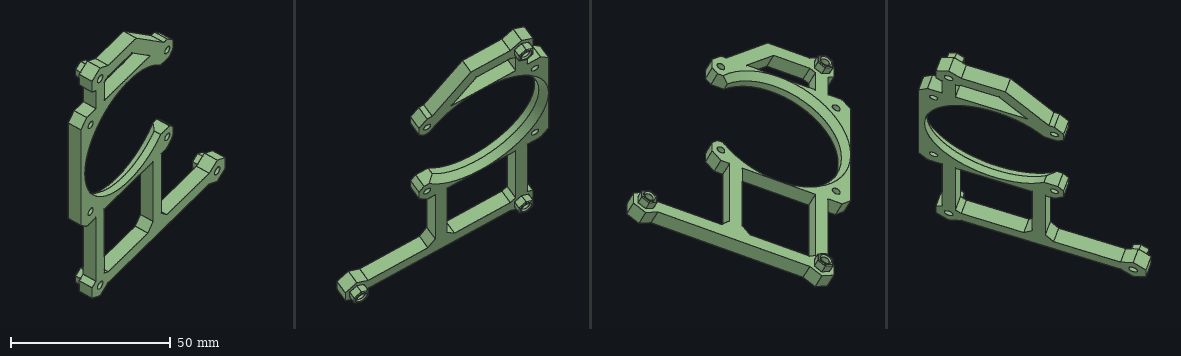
import cadquery as cq
import math

overall_height = 105.0
thickness = 5.0
stud_length = 2.9

plate_half = 25.1
plate_corner = 3.0
screw_pitch = 40.0
screw_hole_diameter = 2.6
free_edge_margin = 3.0
mouth_half = 16.0
mouth_corner = 1.9
ring_front_radius = 25.0
ring_back_radius = 23.0
ring_taper_depth = 2.5

pad_radius = 4.9
stud_radius = 3.0
stud_tip_chamfer = 0.3
stud_bore_diameter = 2.8
bore_countersink = 0.5
pad_spacing_y = 61.1
near_pad_y = -15.0
upper_pad_z = 37.0

bar_width = 5.0
post_width = 4.4
outer_post_y = 14.8
gusset_width = 2.7
gusset_height = 3.0
brace_corner_y = 3.8
brace_bend = 45.0

pad_spacing_z = overall_height - 2 * pad_radius
lower_pad_z = upper_pad_z - pad_spacing_z
far_pad_y = near_pad_y + pad_spacing_y
screw_offset = screw_pitch / 2
free_edge_y = screw_offset + free_edge_margin
pad_centres = [
    (near_pad_y, upper_pad_z),
    (near_pad_y, lower_pad_z),
    (far_pad_y, lower_pad_z),
]


def extrude_outline(points):
    """Extrude a closed (y, z) outline through the frame thickness."""
    return cq.Workplane("YZ").polyline(points).close().extrude(thickness)


def block(y_min, y_max, z_min, z_max):
    """Rectangular bar through the frame thickness."""
    return extrude_outline([(y_min, z_min), (y_max, z_min), (y_max, z_max), (y_min, z_max)])


def hexagon(centre, radius):
    """Corners of a hexagon with one corner pointing up."""
    y, z = centre
    angles = [math.pi * (2 * i + 1) / 6 for i in range(6)]
    return [(y + radius * math.cos(a), z + radius * math.sin(a)) for a in angles]


def ring_plate():
    """Square plate with clipped corners, a tapered opening and a mouth on the +Y side."""
    plate = extrude_outline([
        (-plate_half, -plate_half + plate_corner),
        (-plate_half + plate_corner, -plate_half),
        (free_edge_y - plate_corner, -plate_half),
        (free_edge_y, -plate_half + plate_corner),
        (free_edge_y, plate_half - plate_corner),
        (free_edge_y - plate_corner, plate_half),
        (-plate_half + plate_corner, plate_half),
        (-plate_half, plate_half - plate_corner),
    ])
    opening = (
        cq.Workplane("XY")
        .polyline([
            (0, 0),
            (0, ring_front_radius),
            (ring_taper_depth, ring_back_radius),
            (thickness, ring_back_radius),
            (thickness, 0),
        ])
        .close()
        .revolve(360, (0, 0, 0), (1, 0, 0))
    )
    mouth = extrude_outline([
        (0, -mouth_half),
        (free_edge_y - mouth_corner, -mouth_half),
        (free_edge_y, -mouth_half - mouth_corner),
        (free_edge_y, mouth_half + mouth_corner),
        (free_edge_y - mouth_corner, mouth_half),
        (0, mouth_half),
    ])
    screw_holes = (
        cq.Workplane("YZ")
        .rect(screw_pitch, screw_pitch, forConstruction=True)
        .vertices()
        .circle(screw_hole_diameter / 2)
        .extrude(thickness)
    )
    return plate.cut(opening).cut(mouth).cut(screw_holes)


def lower_frame():
    """Bottom bar, the two posts that carry the plate and the gusset under the outer post."""
    bar_top = lower_pad_z + bar_width / 2
    bar = block(near_pad_y, far_pad_y, lower_pad_z - bar_width / 2, bar_top)
    near_post = block(near_pad_y - post_width / 2, near_pad_y + post_width / 2, lower_pad_z, -plate_half)
    outer_post = block(outer_post_y - post_width / 2, outer_post_y + post_width / 2, lower_pad_z, -plate_half)
    gusset = extrude_outline([
        (outer_post_y - post_width / 2 - gusset_width, bar_top),
        (outer_post_y + post_width / 2 + gusset_width, bar_top),
        (outer_post_y + post_width / 2, bar_top + gusset_height),
        (outer_post_y - post_width / 2, bar_top + gusset_height),
    ])
    return bar.union(near_post).union(outer_post).union(gusset)


def upper_frame():
    """Short post and a bar that bends down to the plate, equally wide throughout."""
    bar_top = upper_pad_z + bar_width / 2
    bar_bottom = bar_top - bar_width
    brace_run = 1 / math.tan(math.radians(brace_bend))
    inner_corner_y = brace_corner_y - bar_width * math.tan(math.radians(brace_bend / 2))
    brace = extrude_outline([
        (near_pad_y, bar_top),
        (brace_corner_y, bar_top),
        (brace_corner_y + (bar_top - plate_half) * brace_run, plate_half),
        (inner_corner_y + (bar_bottom - plate_half) * brace_run, plate_half),
        (inner_corner_y, bar_bottom),
        (near_pad_y, bar_bottom),
    ])
    post = block(near_pad_y - post_width / 2, near_pad_y + post_width / 2, plate_half, upper_pad_z)
    return brace.union(post)


def stud(centre):
    """Hexagonal stud with a bevelled tip, standing on the front face."""
    return (
        cq.Workplane("YZ")
        .polyline(hexagon(centre, stud_radius))
        .close()
        .extrude(-stud_length)
        .faces("<X")
        .chamfer(stud_tip_chamfer)
    )


def stud_bore(centre):
    """Through bore, countersunk at the stud tip."""
    radius = stud_bore_diameter / 2
    tip = cq.Workplane("YZ", origin=(-stud_length, *centre))
    bore = tip.circle(radius).extrude(stud_length + thickness)
    countersink = cq.Solid.makeCone(
        radius + bore_countersink,
        radius,
        bore_countersink,
        cq.Vector(-stud_length, *centre),
        cq.Vector(1, 0, 0),
    )
    return bore.union(cq.Workplane(countersink))


result = ring_plate().union(lower_frame()).union(upper_frame())
for pad_centre in pad_centres:
    result = result.union(extrude_outline(hexagon(pad_centre, pad_radius)))
    result = result.union(stud(pad_centre))
for pad_centre in pad_centres:
    result = result.cut(stud_bore(pad_centre))